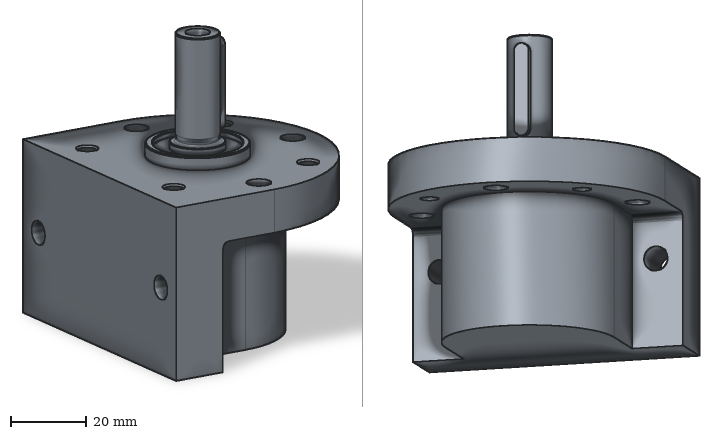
import cadquery as cq
import math

HOUSING_WIDTH = 75.0
FLANGE_RADIUS = HOUSING_WIDTH / 2
FRONT_Y = -30.95
HOUSING_HEIGHT = 48.0
FLANGE_THICKNESS = 12.0
FLANGE_UNDERSIDE = HOUSING_HEIGHT - FLANGE_THICKNESS
BLOCK_DEPTH = 14.8
BLOCK_BACK_Y = FRONT_Y + BLOCK_DEPTH
BLOCK_FILLET = 2.0
CASE_RADIUS = 23.4

BOSS_DIAMETER = 28.0
BOSS_HEIGHT = 3.6
BOSS_CHAMFER = 0.3
BOSS_TOP = HOUSING_HEIGHT + BOSS_HEIGHT
RECESS_DIAMETER = 24.0
RECESS_DEPTH = 1.6
RECESS_CHAMFER = 0.25

BOLT_CIRCLE_RADIUS = 30.0
CLEARANCE_DIAMETER = 6.6
TAPPED_DIAMETER = 4.9
TAPPED_MOUTH_DIAMETER = 6.0
TAPPED_DEPTH = 16.4
DRILL_POINT_ANGLE = 118.0
CROSS_HOLE_HEIGHT = 24.0

SHAFT_TOP = 82.1
SHAFT_DIAMETER = 12.0
SHAFT_CHAMFER = 0.3
NECK_DIAMETER = 11.4
NECK_TOP = 54.3
NECK_TAPER_BOTTOM = 53.1
NECK_FILLET = 0.65
COLLAR_DIAMETER = 15.0
COLLAR_TOP = 52.05
COLLAR_CHAMFER = 0.25
SHAFT_SEAT = FLANGE_UNDERSIDE

CENTRE_MOUTH_DIAMETER = 6.6
CENTRE_BORE_DIAMETER = 4.3
CENTRE_DRILL_DIAMETER = 3.2
CENTRE_CONE_ANGLE = 60.0
CENTRE_BORE_LENGTH = 0.8
CENTRE_DRILL_LENGTH = 8.2

KEY_WIDTH = 4.0
KEY_LENGTH = 25.0
KEY_BOTTOM = 54.5
KEY_OUTER_Y = 7.5
KEY_INNER_Y = 3.5


def cylinder(diameter, bottom, top, x=0, y=0):
    """Vertical cylinder between two heights."""
    return cq.Workplane("XY", origin=(x, y, bottom)).circle(diameter / 2).extrude(top - bottom)


def rounded_plan(radius, front_y, height):
    """Prism with straight sides and front, and a half-round back centred on the axis."""
    return (
        cq.Workplane("XY")
        .moveTo(-radius, front_y)
        .lineTo(radius, front_y)
        .lineTo(radius, 0)
        .threePointArc((0, radius), (-radius, 0))
        .close()
        .extrude(height)
    )


def drill_point_length(diameter):
    return diameter / 2 / math.tan(math.radians(DRILL_POINT_ANGLE / 2))


def housing_blank():
    """Flange and block with a filleted inner corner, joined to the gear case."""
    envelope = rounded_plan(FLANGE_RADIUS, FRONT_Y, HOUSING_HEIGHT)
    space_behind_block = (
        cq.Workplane("XY")
        .box(HOUSING_WIDTH, FLANGE_RADIUS - BLOCK_BACK_Y, FLANGE_UNDERSIDE, centered=(True, False, False))
        .translate((0, BLOCK_BACK_Y, 0))
        .edges("|X and <Y and >Z")
        .fillet(BLOCK_FILLET)
    )
    gear_case = rounded_plan(CASE_RADIUS, FRONT_Y, HOUSING_HEIGHT)
    return envelope.cut(space_behind_block).union(gear_case)


def boss():
    """Round boss, recessed on top, with its rim chamfered inside and out."""
    disc = cylinder(BOSS_DIAMETER, HOUSING_HEIGHT, BOSS_TOP).faces(">Z").chamfer(BOSS_CHAMFER)
    ring = disc.cut(cylinder(RECESS_DIAMETER, BOSS_TOP - RECESS_DEPTH, BOSS_TOP))
    recess_mouth = ring.faces(">Z").edges(cq.selectors.RadiusNthSelector(0))
    return recess_mouth.chamfer(RECESS_CHAMFER)


def bolt_circle_point(angle):
    turn = math.radians(angle)
    return BOLT_CIRCLE_RADIUS * math.cos(turn), BOLT_CIRCLE_RADIUS * math.sin(turn)


def tapped_hole(x, y):
    """Cutter for a countersunk hole: blind in the block, right through the thinner flange."""
    radius = TAPPED_DIAMETER / 2
    mouth_radius = TAPPED_MOUTH_DIAMETER / 2
    profile = [
        (0, 0),
        (mouth_radius, 0),
        (radius, radius - mouth_radius),
        (radius, -TAPPED_DEPTH),
        (0, -TAPPED_DEPTH - drill_point_length(TAPPED_DIAMETER)),
    ]
    cutter = cq.Workplane("XZ").polyline(profile).close().revolve(360, (0, 0), (0, 1))
    return cutter.translate((x, y, HOUSING_HEIGHT))


def make_housing():
    body = housing_blank().union(boss())
    body = body.cut(cylinder(COLLAR_DIAMETER, SHAFT_SEAT, BOSS_TOP))

    for angle in (0, 90, 180):
        x, y = bolt_circle_point(angle)
        body = body.cut(cylinder(CLEARANCE_DIAMETER, FLANGE_UNDERSIDE, HOUSING_HEIGHT, x, y))

    for angle in (45, 135, 225, 315):
        x, y = bolt_circle_point(angle)
        body = body.cut(tapped_hole(x, y))

    for side in (-1, 1):
        cross_hole = (
            cq.Workplane("XZ", origin=(side * BOLT_CIRCLE_RADIUS, FRONT_Y, CROSS_HOLE_HEIGHT))
            .circle(CLEARANCE_DIAMETER / 2)
            .extrude(-BLOCK_DEPTH)
        )
        body = body.cut(cross_hole)
    return body


def key():
    """Key with round ends, its length along the shaft."""
    return (
        cq.Workplane("XZ", origin=(0, KEY_INNER_Y, KEY_BOTTOM + KEY_LENGTH / 2))
        .slot2D(KEY_LENGTH, KEY_WIDTH, 90)
        .extrude(KEY_INNER_Y - KEY_OUTER_Y)
    )


def centre_hole():
    """Cutter for the conical mouth, bore and drilled end of the centre hole."""
    mouth_radius = CENTRE_MOUTH_DIAMETER / 2
    bore_radius = CENTRE_BORE_DIAMETER / 2
    drill_radius = CENTRE_DRILL_DIAMETER / 2
    cone_bottom = SHAFT_TOP - (mouth_radius - bore_radius) / math.tan(math.radians(CENTRE_CONE_ANGLE / 2))
    bore_bottom = cone_bottom - CENTRE_BORE_LENGTH
    drill_bottom = bore_bottom - CENTRE_DRILL_LENGTH
    profile = [
        (0, SHAFT_TOP),
        (mouth_radius, SHAFT_TOP),
        (bore_radius, cone_bottom),
        (bore_radius, bore_bottom),
        (drill_radius, bore_bottom),
        (drill_radius, drill_bottom),
        (0, drill_bottom - drill_point_length(CENTRE_DRILL_DIAMETER)),
    ]
    return cq.Workplane("XZ").polyline(profile).close().revolve(360, (0, 0), (0, 1))


def neck():
    """Undercut that narrows downward and flares into the collar with a fillet."""
    radius = NECK_DIAMETER / 2
    arc_inset = NECK_FILLET * (1 - math.sqrt(0.5))
    return (
        cq.Workplane("XZ")
        .moveTo(0, COLLAR_TOP)
        .lineTo(radius + NECK_FILLET, COLLAR_TOP)
        .threePointArc(
            (radius + arc_inset, COLLAR_TOP + arc_inset),
            (radius, COLLAR_TOP + NECK_FILLET),
        )
        .lineTo(radius, NECK_TAPER_BOTTOM)
        .lineTo(SHAFT_DIAMETER / 2, NECK_TOP)
        .lineTo(0, NECK_TOP)
        .close()
        .revolve(360, (0, 0), (0, 1))
    )


def make_shaft():
    collar = cylinder(COLLAR_DIAMETER, SHAFT_SEAT, COLLAR_TOP).faces(">Z").chamfer(COLLAR_CHAMFER)
    journal = cylinder(SHAFT_DIAMETER, NECK_TOP, SHAFT_TOP).faces(">Z").chamfer(SHAFT_CHAMFER)
    return collar.union(neck()).union(journal).union(key()).cut(centre_hole())


housing = make_housing()
shaft = make_shaft()
result = cq.Compound.makeCompound([housing.val(), shaft.val()])